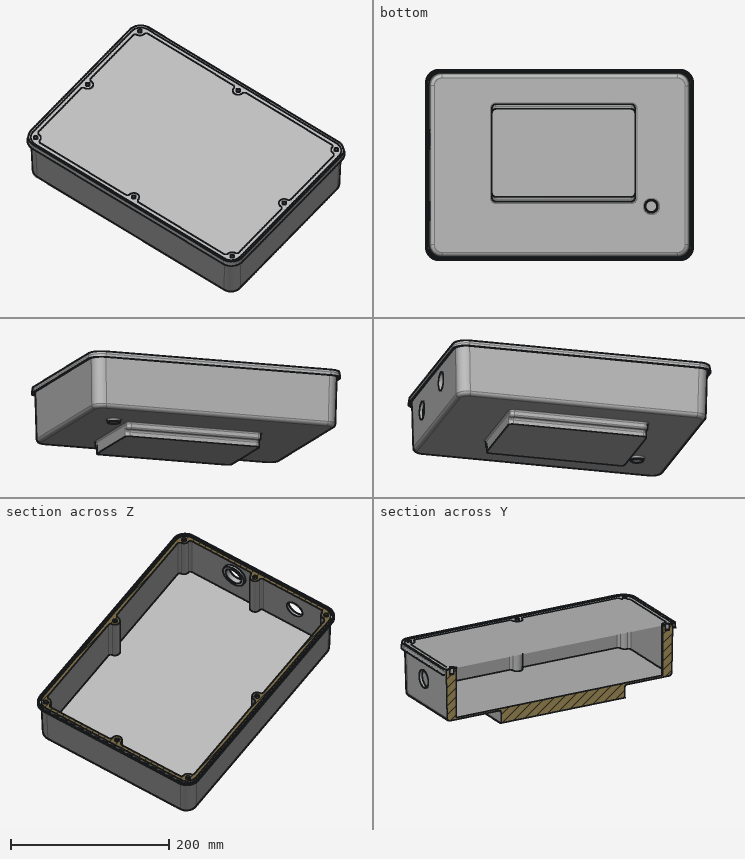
import cadquery as cq

LENGTH = 338.0
WIDTH = 241.0
LID_TOP = 71.3
SELECT_MARGIN = 0.17
OVERLAP = 3.5

LID_CORNER = 17.2
LID_DRAFT = 1.0
LID_HEIGHT = 7.5
SKIRT_WALL = 0.85
LID_INNER_ROUND = 1.85
ROOF = 0.98

SKIRT_BOTTOM = LID_TOP - LID_HEIGHT
RIM_TOP = LID_TOP - ROOF

BODY_LENGTH = 330.0
BODY_WIDTH = 233.2
BODY_INSET = (LENGTH - BODY_LENGTH) / 2
BODY_CORNER = 14.5
BODY_DRAFT = 1.52
WALL = 5.5
FLOOR = 3.5
CAVITY_CORNER = 3.5
BOTTOM_ROUND = 5.0

SCREW_X = 156.5
SCREW_Y = 108.0
SCREW_HOLE = 5.0
POST_RADIUS = 6.8
POST_BLEND = 3.5
SCREW_DEPTH = 8.5
SCREW_POINTS = [
    (i * SCREW_X, j * SCREW_Y) for i in (-1, 0, 1) for j in (-1, 0, 1) if (i, j) != (0, 0)
]

CABLE_HOLE = 23.5
CABLE_HOLES = [(58.0, 38.5), (-32.5, 45.5)]
PAD_HOLE = CABLE_HOLES[1]
PAD_DIAMETER = 32.0
PAD_DEPTH = 9.0

MOUNT_X = 5.0
MOUNT_Y = -15.2
MOUNT_LENGTH = 180.8
LEDGE_WIDTH = 123.0
BLOCK_WIDTH = 111.2
MOUNT_BOTTOM = -17.2
LEDGE_BOTTOM = -8.8
MOUNT_CORNER = 5.0
LEDGE_ROUND = 2.0
LEDGE_BLEND = 2.7
FOOT_BLEND = 2.0

STUD_X = 116.0
STUD_Y = 52.0
STUD_DIAMETER = 16.5
STUD_HEIGHT = 4.5
STUD_CHAMFER = 1.0


def edges_near(center, length, width):
    """Selector of the edges in a flat box of this length and width about a center."""
    x, y, z = center
    half_x = length / 2 + SELECT_MARGIN
    half_y = width / 2 + SELECT_MARGIN
    return cq.selectors.BoxSelector(
        (x - half_x, y - half_y, z - SELECT_MARGIN),
        (x + half_x, y + half_y, z + SELECT_MARGIN),
    )


def rounded_slab(length, width, corner, bottom, top):
    """Upright slab with rounded vertical corners."""
    slab = cq.Workplane("XY").workplane(offset=bottom).rect(length, width).extrude(top - bottom)
    return slab.edges("|Z").fillet(corner)


def drafted_slab(length, width, corner, wide_z, narrow_z, draft):
    """Rounded slab, full size at wide_z and smaller by the draft on each side at narrow_z."""
    wide = cq.Sketch().rect(length, width).vertices().fillet(corner)
    narrow = cq.Sketch().rect(length - 2 * draft, width - 2 * draft).vertices().fillet(corner)
    offset = narrow_z - wide_z
    return (
        cq.Workplane("XY")
        .workplane(offset=wide_z)
        .placeSketch(wide, narrow.moved(cq.Location(cq.Vector(0, 0, offset))))
        .loft()
    )


def screw_cylinders(radius, bottom, top):
    """Equal upright cylinders at all screw points."""
    plane = cq.Workplane("XY").workplane(offset=bottom)
    return plane.pushPoints(SCREW_POINTS).circle(radius).extrude(top - bottom)


def make_lid():
    """Thin drafted cap that rests on the wall top, with a skirt hanging around it."""
    lid = drafted_slab(LENGTH, WIDTH, LID_CORNER, SKIRT_BOTTOM, LID_TOP, LID_DRAFT)
    inner_inset = SKIRT_WALL + LID_DRAFT
    hollow = rounded_slab(
        LENGTH - 2 * inner_inset,
        WIDTH - 2 * inner_inset,
        LID_CORNER - SKIRT_WALL,
        SKIRT_BOTTOM - OVERLAP,
        RIM_TOP,
    )
    lid = lid.cut(hollow.faces(">Z").edges().fillet(LID_INNER_ROUND))
    return lid.cut(screw_cylinders(SCREW_HOLE / 2, RIM_TOP, LID_TOP))


def make_cavity():
    """Straight pocket that steps back around every screw post."""
    cavity_length = BODY_LENGTH - 2 * WALL
    cavity_width = BODY_WIDTH - 2 * WALL
    cavity = rounded_slab(cavity_length, cavity_width, CAVITY_CORNER, FLOOR, RIM_TOP)
    cavity = cavity.cut(screw_cylinders(POST_RADIUS, FLOOR, RIM_TOP))
    return cavity.edges("|Z").fillet(POST_BLEND)


def make_shell():
    """Open drafted tray with a rounded bottom edge."""
    shell = drafted_slab(BODY_LENGTH, BODY_WIDTH, BODY_CORNER, RIM_TOP, 0, BODY_DRAFT)
    shell = shell.faces("<Z").edges().fillet(BOTTOM_ROUND)
    return shell.cut(make_cavity())


def make_mount():
    """Block with side ledges, flush with them at both ends."""
    block = rounded_slab(MOUNT_LENGTH, BLOCK_WIDTH, MOUNT_CORNER, MOUNT_BOTTOM, 0)
    ledge = rounded_slab(MOUNT_LENGTH, LEDGE_WIDTH, MOUNT_CORNER, LEDGE_BOTTOM, 0)
    ledge = ledge.faces("<Z").edges().fillet(LEDGE_ROUND)
    mount = block.union(ledge)
    inner_corners = edges_near((0, 0, LEDGE_BOTTOM), MOUNT_LENGTH, BLOCK_WIDTH)
    mount = mount.edges(inner_corners).edges("|X").fillet(LEDGE_BLEND)
    return mount.translate((MOUNT_X, MOUNT_Y, 0))


def make_stud():
    """Short chamfered stud pointing down from the underside."""
    plane = cq.Workplane("XY").center(STUD_X, STUD_Y)
    stud = plane.circle(STUD_DIAMETER / 2).extrude(-STUD_HEIGHT)
    return stud.faces("<Z").chamfer(STUD_CHAMFER)


def wall_cylinder(center, diameter, depth):
    """Cylinder along X from outside the -X wall to the given depth behind its outer face."""
    y, z = center
    plane = cq.Workplane("YZ", origin=(-LENGTH / 2, y, z))
    return plane.circle(diameter / 2).extrude(BODY_INSET + depth)


def make_enclosure():
    """Tray with cable holes, screw holes, mounting block and stud, as one solid."""
    pad = wall_cylinder(PAD_HOLE, PAD_DIAMETER, PAD_DEPTH)
    inside_wall = cq.Workplane("XY").box(BODY_LENGTH - WALL, BODY_WIDTH, 2 * LID_TOP)
    pad = pad.intersect(inside_wall)
    body = make_shell().union(pad)
    for center in CABLE_HOLES:
        body = body.cut(wall_cylinder(center, CABLE_HOLE, PAD_DEPTH + OVERLAP))
    body = body.cut(screw_cylinders(SCREW_HOLE / 2, LID_TOP - SCREW_DEPTH, LID_TOP))
    body = body.union(make_mount()).union(make_stud())
    mount_root = edges_near((MOUNT_X, MOUNT_Y, 0), MOUNT_LENGTH, LEDGE_WIDTH)
    stud_root = edges_near((STUD_X, STUD_Y, 0), STUD_DIAMETER, STUD_DIAMETER)
    return body.edges(mount_root + stud_root).fillet(FOOT_BLEND)


enclosure = make_enclosure().solids()
lid = make_lid().solids()
result = cq.Compound.makeCompound([enclosure.val(), lid.val()])